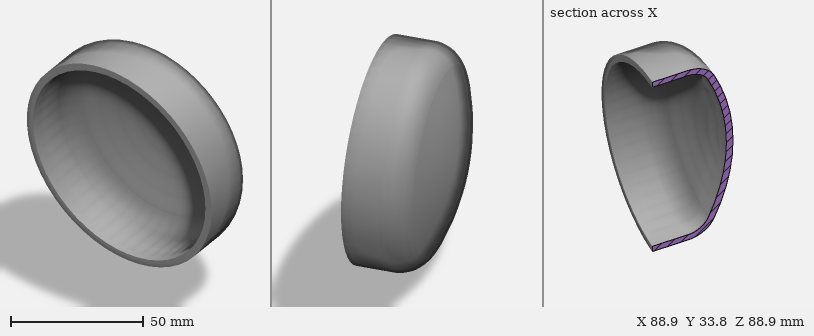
import cadquery as cq
import math

outer_diameter = 88.9
inner_diameter = 82.9
skirt_length = 15.0

outer_radius = outer_diameter / 2
inner_radius = inner_diameter / 2
wall = outer_radius - inner_radius

inner_crown = outer_diameter
inner_knuckle = outer_diameter / 10

knuckle_center_x = inner_radius - inner_knuckle
center_distance = inner_crown - inner_knuckle
tangent_angle = math.asin(knuckle_center_x / center_distance)
crown_center_y = skirt_length - center_distance * math.cos(tangent_angle)


def knuckle_point(radius, angle):
    """Point on a knuckle arc, with the angle measured from the axis."""
    return (
        knuckle_center_x + radius * math.sin(angle),
        skirt_length + radius * math.cos(angle),
    )


def crown_point(radius, angle):
    """Point on a crown arc, with the angle measured from the axis."""
    return (
        radius * math.sin(angle),
        crown_center_y + radius * math.cos(angle),
    )


def dome(rim_radius, offset):
    """Solid cap form bounded by the inner surface moved outwards by offset."""
    crown = inner_crown + offset
    knuckle = inner_knuckle + offset
    knuckle_middle = (math.pi / 2 + tangent_angle) / 2
    profile = (
        cq.Workplane("XY")
        .lineTo(rim_radius, 0)
        .lineTo(rim_radius, skirt_length)
        .threePointArc(knuckle_point(knuckle, knuckle_middle), knuckle_point(knuckle, tangent_angle))
        .threePointArc(crown_point(crown, tangent_angle / 2), crown_point(crown, 0))
        .close()
    )
    return profile.revolve(360, (0, 0), (0, 1))


result = dome(outer_radius, wall).cut(dome(inner_radius, 0))